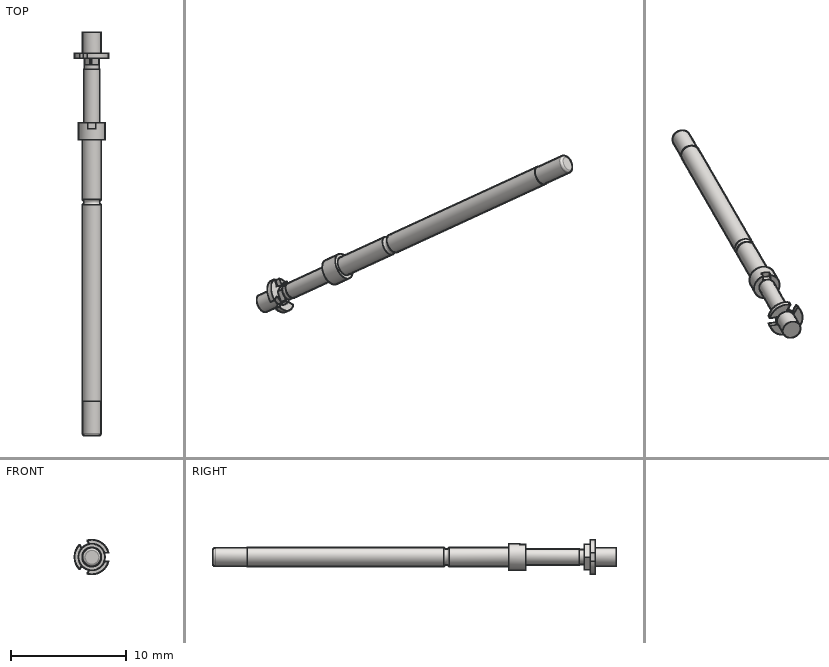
import cadquery as cq
import math

LENGTH = 34.8
HEAD_END = LENGTH / 2

FLANGE_START = 1.8
FLANGE_END = 2.25
KEY_END = 2.8
NECK_END = 3.2
COLLAR_START = 7.8
COLLAR_END = 9.3
GROOVE_START = 14.4
GROOVE_END = 14.9
TIP_START = 31.8

HEAD_RADIUS = 0.8
FLANGE_RADIUS = 1.5
NECK_RADIUS = 0.65
STEM_RADIUS = 0.7
COLLAR_RADIUS = 1.15
BODY_RADIUS = 0.85
GROOVE_RADIUS = 0.7
TIP_RADIUS = 0.8
TIP_FILLET = 0.2

NOTCH_COUNT = 3
NOTCH_WIDTH = 0.73
NOTCH_FLOOR = 0.8

KEY_HALF_HEIGHT = 1.1
KEY_HALF_WIDTH = KEY_HALF_HEIGHT * math.tan(math.radians(30))

SLOT_WIDTH = 0.7
SLOT_LENGTH = 0.52


def section_plane(distance):
    """Plane across the pin at a distance from the head end, facing the tip."""
    return cq.Workplane("XZ", origin=(0, HEAD_END - distance, 0))


def cylinder(start, end, radius):
    return section_plane(start).circle(radius).extrude(end - start)


def make_groove():
    """Ring with a rounded inner face, removed from the body."""
    middle = (GROOVE_START + GROOVE_END) / 2
    return (
        cq.Workplane("XY")
        .moveTo(BODY_RADIUS, HEAD_END - GROOVE_START)
        .threePointArc((GROOVE_RADIUS, HEAD_END - middle), (BODY_RADIUS, HEAD_END - GROOVE_END))
        .close()
        .revolve(360, (0, 0, 0), (0, 1, 0))
    )


def make_flange():
    return cylinder(FLANGE_START, FLANGE_END, FLANGE_RADIUS)


def make_key():
    corners = [
        (KEY_HALF_WIDTH, 0),
        (0, KEY_HALF_HEIGHT),
        (-KEY_HALF_WIDTH, 0),
        (0, -KEY_HALF_HEIGHT),
    ]
    return section_plane(FLANGE_END).polyline(corners).close().extrude(KEY_END - FLANGE_END)


def cut_notches(solid):
    """Cut equally spaced radial notches through flange and key, the first one pointing to +X."""
    notch = (
        section_plane(FLANGE_START)
        .center(NOTCH_FLOOR + FLANGE_RADIUS / 2, 0)
        .rect(FLANGE_RADIUS, NOTCH_WIDTH)
        .extrude(KEY_END - FLANGE_START)
    )
    for index in range(NOTCH_COUNT):
        angle = index * 360 / NOTCH_COUNT
        solid = solid.cut(notch.rotate((0, 0, 0), (0, 1, 0), angle))
    return solid


def make_collar():
    collar = cylinder(COLLAR_START, COLLAR_END, COLLAR_RADIUS)
    slot = (
        section_plane(COLLAR_START)
        .center(0, STEM_RADIUS + COLLAR_RADIUS / 2)
        .rect(SLOT_WIDTH, COLLAR_RADIUS)
        .extrude(SLOT_LENGTH)
    )
    return collar.cut(slot)


def make_tip():
    return cylinder(TIP_START, LENGTH, TIP_RADIUS).faces("<Y").edges().fillet(TIP_FILLET)


head = cylinder(0, FLANGE_START, HEAD_RADIUS)
neck = cylinder(KEY_END, NECK_END, NECK_RADIUS)
stem = cylinder(NECK_END, COLLAR_START + SLOT_LENGTH, STEM_RADIUS)
body = cylinder(COLLAR_END, TIP_START, BODY_RADIUS).cut(make_groove())

result = (
    head.union(cut_notches(make_flange().union(make_key())))
    .union(neck)
    .union(stem)
    .union(make_collar())
    .union(body)
    .union(make_tip())
)